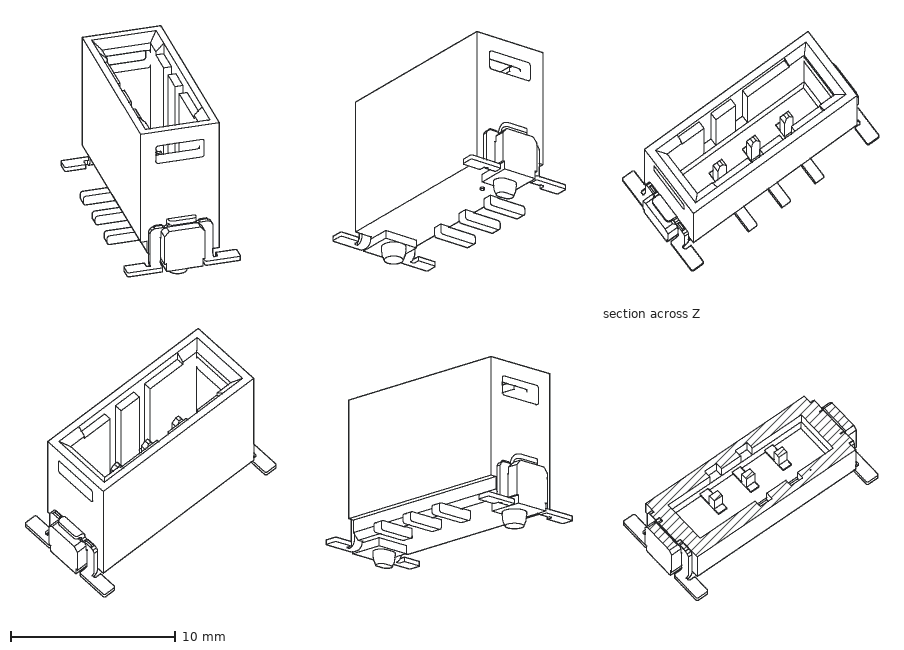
import cadquery as cq
import math


total_height = 10.15
housing_length = 12.4
housing_depth = 5.01
housing_bottom = 1.39
end_wall = 0.5
side_wall = 0.46
step_height = 2.58
step_inset = 0.42
step_chamfer_top = 1.79
end_x = housing_length / 2
front_y = -housing_depth / 2

mouth_length = housing_length - 2 * end_wall
mouth_depth = housing_depth - 2 * side_wall
lead_in = 0.5
cavity_length = mouth_length - 2 * lead_in
cavity_depth = mouth_depth - 2 * lead_in
floor_z = step_height
floor_chamfer = 0.23
recess_length = 8.12
rib_drop = 0.72
rib_top = total_height - rib_drop
slot_width = 0.9
rear_slot_centers = (-1.95, 0.45)
front_slot_centers = (-0.91, 1.49)

window_width = cavity_depth
window_bottom = 7.93
window_top = 9.15
window_radius = 0.17

contact_pitch = 2.53
contact_count = 3
contact_width = 0.65
base_rise = 0.1
base_front = -1.4
base_rear = 0.42
post_front = -0.49
post_rear = 0.0
post_top = 6.5
post_taper = 0.43
tip_length = 0.22
tip_depth = 0.3
tail_front = -3.62
tail_rear = -1.0
tail_bottom = 0.74
tail_thickness = 0.62
tail_upper_radius = 0.17
tail_lower_radius = 0.17

clip_thickness = 0.29
clip_half_width = 2.0
clip_top = 3.64
hook_root = 3.75
clip_corner = 0.29
clip_corner_facet_in = 0.12
clip_corner_facet_down = 0.09
leg_inner = 1.35
leg_slot_top = 2.95
hook_half_width = 0.87
hook_corner = 0.23
hook_tip_x = 6.93
hook_radius = 0.49
relief_width = 0.29
relief_depth = 0.09
barb_top = 3.75
barb_crest_width = 0.12
barb_crest_length = 0.46
foot_bottom = 0.9
foot_end_x = 7.1
foot_rear = 3.6
foot_corner = 0.12
bend_radius = 0.17
foot_notch_end = 2.27
right_clip_drop = 0.09

guard_end_x = 7.22
guard_half_width = 1.29
guard_top = 3.64
guard_chamfer_width = 0.29
guard_chamfer_height = 0.33
guard_edge_chamfer = 0.16
pad_bottom = 0.87
pad_half_width = 1.15
pad_inner_x = 4.92

peg_x = 5.67
peg_diameter = 1.5
key_peg_width = 1.03
peg_shoulder_z = 0.74
peg_cone_z = 0.33
peg_draft = 0.05
peg_cone_inset = 0.13

gate_x = -3.38
gate_diameter = 0.26
gate_height = 0.1


def block(x_range, y_range, z_range):
    """Axis-aligned box between the given limits."""
    spans = [high - low for low, high in (x_range, y_range, z_range)]
    return cq.Workplane("XY").box(*spans, centered=False).translate((x_range[0], y_range[0], z_range[0]))


def frustum(bottom_size, top_size, bottom_z, top_z):
    """Rectangular frustum centred on the Z axis."""
    return (
        cq.Workplane("XY", origin=(0, 0, bottom_z))
        .rect(*bottom_size)
        .workplane(offset=top_z - bottom_z)
        .rect(*top_size)
        .loft(ruled=True)
    )


def make_shell():
    """Solid housing with the stepped and chamfered lower front edge."""
    step_y = front_y + step_inset
    bottom_y = step_y + step_chamfer_top - housing_bottom
    profile = [
        (-front_y, housing_bottom),
        (-front_y, total_height),
        (front_y, total_height),
        (front_y, step_height),
        (step_y, step_height),
        (step_y, step_chamfer_top),
        (bottom_y, housing_bottom),
    ]
    return cq.Workplane("YZ").polyline(profile).close().extrude(end_x, both=True)


def make_cavity():
    """Cavity with chamfered mouth, chamfered floor, wall recesses and keying slots."""
    wall_size = (cavity_length, cavity_depth)
    floor_size = (cavity_length - 2 * floor_chamfer, cavity_depth - 2 * floor_chamfer)
    floor_edge = floor_z + floor_chamfer
    lead_in_bottom = total_height - lead_in

    cavity = frustum(floor_size, wall_size, floor_z, floor_edge)
    cavity = cavity.union(frustum(wall_size, wall_size, floor_edge, lead_in_bottom))
    cavity = cavity.union(frustum(wall_size, (mouth_length, mouth_depth), lead_in_bottom, total_height))

    half_recess = recess_length / 2
    half_mouth = mouth_depth / 2
    cavity = cavity.union(
        block((-half_recess, half_recess), (-half_mouth, half_mouth), (rib_top, total_height))
    )
    for side, centers in ((1, rear_slot_centers), (-1, front_slot_centers)):
        y_range = sorted((0, side * half_mouth))
        for center in centers:
            x_range = (center - slot_width / 2, center + slot_width / 2)
            cavity = cavity.union(block(x_range, y_range, (floor_edge, total_height)))
    return cavity


def make_window():
    """Rounded opening through the end wall at +X."""
    return (
        block((cavity_length / 2, end_x), (-window_width / 2, window_width / 2), (window_bottom, window_top))
        .edges("|X")
        .fillet(window_radius)
    )


def make_contact():
    """One contact: base bar and tapered post in the cavity, bent tail under the housing."""
    half_width = contact_width / 2
    x_range = (-half_width, half_width)
    tail_top = tail_bottom + tail_thickness
    base = block(x_range, (base_front, base_rear), (housing_bottom, floor_z + base_rise))
    post_depth = post_rear - post_front
    taper_start = post_top - post_taper
    post = block((-half_width, half_width), (-post_depth / 2, post_depth / 2), (floor_z, taper_start))
    post = post.union(
        frustum((contact_width, post_depth), (tip_length, tip_depth), taper_start, post_top)
    ).translate((0, (post_front + post_rear) / 2, 0))
    tail = block(x_range, (tail_front, tail_rear), (tail_bottom, tail_top))
    tail = tail.edges("|X and <Z").fillet(tail_lower_radius)
    tail = tail.edges("|X and >Z and <Y").fillet(tail_upper_radius)
    stem = block(x_range, (tail_rear - tail_thickness, tail_rear), (tail_top - tail_thickness / 2, floor_z))
    return base.union(post).union(tail).union(stem)


def make_clip_plate():
    """Upright plate of the clip: two legs joined at the top beside the hook."""
    foot_top = foot_bottom + clip_thickness
    leg_bottom = foot_top + bend_radius
    relief_end = hook_half_width + relief_width
    half_outline = [
        (leg_inner, leg_slot_top),
        (leg_inner, leg_bottom),
        (clip_half_width, leg_bottom),
        (clip_half_width, clip_top - clip_corner),
        (clip_half_width - clip_corner_facet_in, clip_top - clip_corner_facet_down),
        (clip_half_width - clip_corner, clip_top),
        (relief_end, clip_top),
        (hook_half_width + relief_width / 2, clip_top - relief_depth),
        (hook_half_width, clip_top),
        (hook_half_width, hook_root),
    ]
    other_half = [(-y, z) for y, z in reversed(half_outline)]
    return (
        cq.Workplane("YZ", origin=(end_x, 0, 0))
        .polyline(half_outline + other_half)
        .close()
        .extrude(clip_thickness)
    )


def make_barb():
    """Low four-sided wedge on top of the +Y leg."""
    outer_y = clip_half_width - clip_corner
    inner_y = hook_half_width + relief_width
    base_size = (clip_thickness, outer_y - inner_y)
    crest_size = (barb_crest_width, barb_crest_length)
    return frustum(base_size, crest_size, clip_top, barb_top).translate(
        (end_x + clip_thickness / 2, (outer_y + inner_y) / 2, 0)
    )


def make_hook():
    """Tongue that curls outward from the top of the clip plate."""
    center_x = end_x + hook_radius
    inner_radius = hook_radius - clip_thickness
    diagonal = math.sqrt(0.5)
    hook = (
        cq.Workplane("XZ")
        .moveTo(end_x, hook_root)
        .threePointArc(
            (center_x - hook_radius * diagonal, hook_root + hook_radius * diagonal),
            (center_x, hook_root + hook_radius),
        )
        .lineTo(hook_tip_x, hook_root + hook_radius)
        .lineTo(hook_tip_x, hook_root + inner_radius)
        .lineTo(center_x, hook_root + inner_radius)
        .threePointArc(
            (center_x - inner_radius * diagonal, hook_root + inner_radius * diagonal),
            (end_x + clip_thickness, hook_root),
        )
        .close()
        .extrude(hook_half_width, both=True)
    )
    return hook.edges("|Z and >X").fillet(hook_corner)


def make_foot():
    """Solder foot on the +Y side with the bend that joins it to its leg."""
    foot_top = foot_bottom + clip_thickness
    notch_x = end_x + clip_thickness + bend_radius
    outer_radius = bend_radius + clip_thickness
    bend_z = foot_top + bend_radius
    diagonal = math.sqrt(0.5)
    plate = block((end_x, foot_end_x), (leg_inner, foot_rear), (foot_bottom, foot_top))
    plate = plate.edges("|Z and (>X or >Y)").fillet(foot_corner)
    notch = block((end_x, notch_x), (leg_inner, foot_notch_end), (foot_bottom, foot_top))
    notch = notch.edges("|Z and >X and >Y").fillet(foot_corner)
    bend = (
        cq.Workplane("XZ", origin=(0, clip_half_width, 0))
        .moveTo(end_x, bend_z)
        .threePointArc(
            (notch_x - outer_radius * diagonal, bend_z - outer_radius * diagonal),
            (notch_x, foot_bottom),
        )
        .lineTo(notch_x, foot_top)
        .threePointArc(
            (notch_x - bend_radius * diagonal, bend_z - bend_radius * diagonal),
            (end_x + clip_thickness, bend_z),
        )
        .close()
        .extrude(clip_half_width - leg_inner)
    )
    return plate.cut(notch).union(bend)


def make_clip():
    """Complete clip for the +X end."""
    clip_body = make_clip_plate().union(make_hook())
    for leg_part in (make_foot(), make_barb()):
        clip_body = clip_body.union(leg_part).union(leg_part.mirror("XZ"))
    return clip_body


def make_guard():
    """Guard block outside the +X clip, its neck to the housing and the pad for the peg."""
    guard_inner_x = end_x + clip_thickness
    shoulder_z = guard_top - guard_chamfer_height
    shoulder_y = guard_half_width - guard_chamfer_width
    outline = [
        (-guard_half_width, housing_bottom),
        (guard_half_width, housing_bottom),
        (guard_half_width, shoulder_z),
        (shoulder_y, guard_top),
        (-shoulder_y, guard_top),
        (-guard_half_width, shoulder_z),
    ]
    guard = (
        cq.Workplane("YZ", origin=(guard_inner_x, 0, 0))
        .polyline(outline)
        .close()
        .extrude(guard_end_x - guard_inner_x)
        .edges("<X and >Z")
        .chamfer(guard_edge_chamfer)
    )
    neck_y = (-guard_half_width, guard_half_width)
    neck = block((end_x, guard_inner_x), neck_y, (housing_bottom, leg_slot_top))
    pad_y = (-pad_half_width, pad_half_width)
    pad = block((pad_inner_x, guard_end_x), pad_y, (pad_bottom, housing_bottom))
    return guard.union(neck).union(pad)


def make_peg(width, center_x):
    """Locating peg, peg_diameter long in Y and `width` wide in X, tapering to its tip."""

    def section(z, inset):
        plane = cq.Workplane("XY", origin=(center_x, 0, z))
        section_width = width - 2 * inset
        if width == peg_diameter:
            return plane.circle(section_width / 2)
        return plane.slot2D(peg_diameter - 2 * inset, section_width, 90)

    draft_height = peg_shoulder_z - peg_cone_z
    draft_angle = math.degrees(math.atan(peg_draft / draft_height))
    cone_angle = math.degrees(math.atan(peg_cone_inset / peg_cone_z))
    shoulder = section(peg_shoulder_z, 0).extrude(pad_bottom - peg_shoulder_z)
    drafted = section(peg_shoulder_z, 0).extrude(-draft_height, taper=draft_angle)
    cone = section(peg_cone_z, peg_draft).extrude(-peg_cone_z, taper=cone_angle)
    return shoulder.union(drafted).union(cone)


def make_gate_mark():
    """Small disc under the housing floor."""
    return (
        cq.Workplane("XY", origin=(gate_x, 0, housing_bottom - gate_height))
        .circle(gate_diameter / 2)
        .extrude(gate_height)
    )


window = make_window()
result = make_shell().cut(make_cavity()).cut(window).cut(window.mirror("YZ"))

guard_block = make_guard()
result = result.union(guard_block).union(guard_block.mirror("YZ"))

clip = make_clip()
result = result.union(clip.mirror("YZ")).union(clip.translate((0, 0, -right_clip_drop)))

result = result.union(make_peg(peg_diameter, peg_x)).union(make_peg(key_peg_width, -peg_x))
result = result.union(make_gate_mark())

contact = make_contact()
for index in range(contact_count):
    contact_x = (index - (contact_count - 1) / 2) * contact_pitch
    result = result.union(contact.translate((contact_x, 0, 0)))